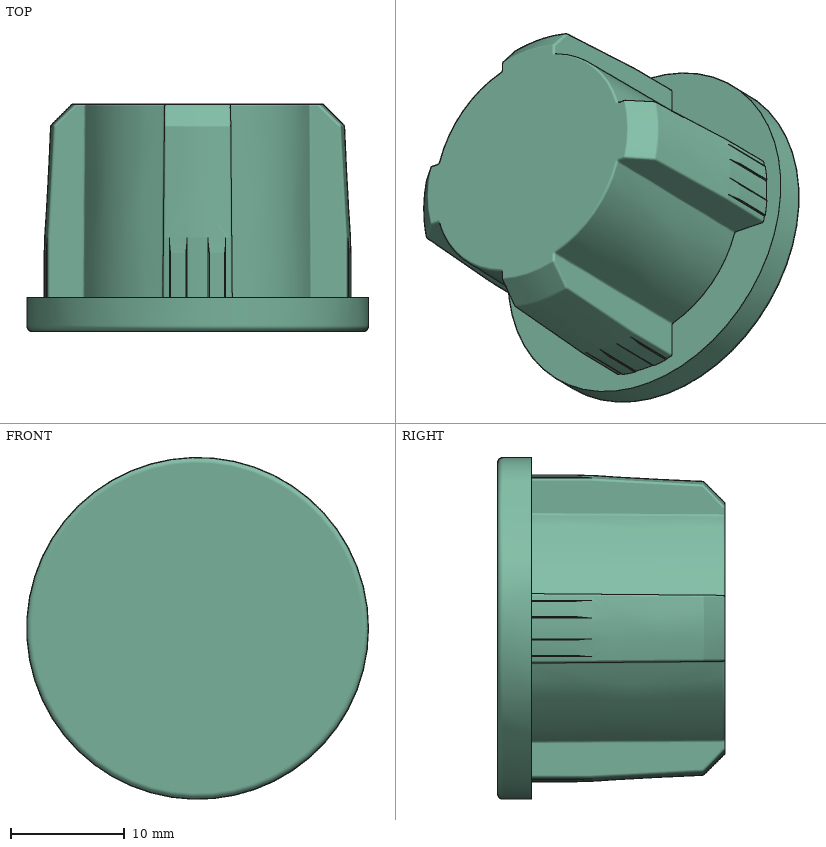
import cadquery as cq
import math


head_diameter = 30.05
head_thickness = 3.0
head_edge_radius = 0.5

plug_height = 17.0
drum_base_radius = 10.42
mould_draft = math.radians(0.5)
rim_radius = 0.2

wing_count = 4
wing_base_width = 6.1
wing_chamfer = 1.9
wing_shoulder_radius = 12.92
wing_slope = math.radians(3.1)
wing_edge_radius = 0.22
wing_shoulder_round = 0.3
wing_root_radius = 0.2
root_search = 0.3
land_height = 5.25

bead_height = 3.9
bead_offset = 1.7
bead_base_width = 1.55
bead_crest_width = 1.3

shoulder_height = plug_height - wing_chamfer


def wing_radius(height):
    """Radius of the sloped outer wing surface at a height above the head."""
    return wing_shoulder_radius + (shoulder_height - height) * math.tan(wing_slope)


land_radius = wing_radius(land_height)
bead_crest_radius = wing_radius(bead_height)
bead_rise = bead_crest_radius - land_radius


def revolved(profile):
    """Solid of revolution about Z from (radius, height) points starting and ending on the axis."""
    return cq.Workplane("XZ").polyline(profile).close().revolve(360, (0, 0), (0, 1))


def make_head():
    disc = cq.Workplane("XY").circle(head_diameter / 2).extrude(-head_thickness)
    return disc.faces("<Z").edges().fillet(head_edge_radius)


def make_drum():
    drum_top_radius = drum_base_radius - plug_height * math.tan(mould_draft)
    return revolved([(0, 0), (drum_base_radius, 0), (drum_top_radius, plug_height), (0, plug_height)])


def make_bead(side):
    """Straight bead with sloping flanks and a crest concentric with the drum."""
    base_half = bead_base_width / 2
    crest_half = bead_crest_width / 2
    section = [
        (0, -base_half),
        (land_radius, -base_half),
        (bead_crest_radius, -crest_half),
        (bead_crest_radius + bead_rise, -crest_half),
        (bead_crest_radius + bead_rise, crest_half),
        (bead_crest_radius, crest_half),
        (land_radius, base_half),
        (0, base_half),
    ]
    bar = cq.Workplane("XY").polyline(section).close().extrude(land_height)
    crest = cq.Workplane("XY").circle(bead_crest_radius).extrude(land_height)
    angle = math.degrees(math.asin(bead_offset / land_radius))
    return bar.intersect(crest).rotate((0, 0, 0), (0, 0, 1), side * angle)


def make_wing():
    """One wing along +X: a slab with drafted sides, turned outside, with lands and beads at its foot."""
    base_half = wing_base_width / 2
    top_half = base_half - plug_height * math.tan(mould_draft)
    section = [(-base_half, 0), (base_half, 0), (top_half, plug_height), (-top_half, plug_height)]
    slab = cq.Workplane("YZ").polyline(section).close().extrude(head_diameter / 2)
    slope = revolved([
        (0, 0),
        (wing_radius(0), 0),
        (wing_shoulder_radius, shoulder_height),
        (wing_shoulder_radius - wing_chamfer, plug_height),
        (0, plug_height),
    ])
    foot = revolved([
        (0, 0),
        (land_radius, 0),
        (land_radius, land_height),
        (head_diameter / 2, land_height),
        (head_diameter / 2, plug_height),
        (0, plug_height),
    ])
    for side in (-1, 1):
        foot = foot.union(make_bead(side))
    wing = slab.intersect(slope).intersect(foot)

    shoulder = cq.selectors.BoxSelector(
        (drum_base_radius, -top_half / 2, shoulder_height - wing_shoulder_round),
        (head_diameter, top_half / 2, shoulder_height + wing_shoulder_round),
    )
    wing = wing.edges(shoulder).fillet(wing_shoulder_round)
    outside_drum = cq.selectors.BoxSelector(
        (drum_base_radius, -wing_base_width, land_height / 4),
        (head_diameter, wing_base_width, plug_height - wing_edge_radius),
    )
    return wing.faces(">Y or <Y").edges(outside_drum).fillet(wing_edge_radius)


def make_plug():
    """Drum and wings joined, with rounded roots and a rounded top rim between the wings."""
    plug = make_drum()
    wing = make_wing()
    for index in range(wing_count):
        plug = plug.union(wing.rotate((0, 0, 0), (0, 0, 1), index * 360 / wing_count))

    root_angle = math.asin(wing_base_width / 2 / drum_base_radius)
    roots = plug.newObject([])
    for index in range(wing_count):
        for side in (-1, 1):
            angle = index * 2 * math.pi / wing_count + side * root_angle
            x = drum_base_radius * math.cos(angle)
            y = drum_base_radius * math.sin(angle)
            near_root = cq.selectors.BoxSelector(
                (x - root_search, y - root_search, plug_height / 4),
                (x + root_search, y + root_search, plug_height * 3 / 4),
            )
            roots = roots.add(plug.edges(near_root))
    plug = plug.newObject(roots.vals()).fillet(wing_root_radius)

    return plug.faces(">Z").edges().fillet(rim_radius)


result = make_plug().union(make_head()).rotate((0, 0, 0), (1, 0, 0), -90)